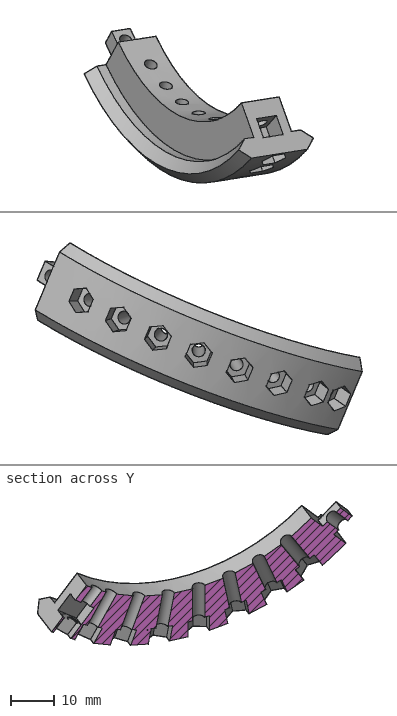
import cadquery as cq

inner_radius = 45.0
outer_radius = 59.05
half_angle = 40.0
base_width = 20.0
base_thickness = 5.0
base_chamfer = base_thickness / 2
neck_width = 10.1

peg_inner_radius = 49.7
peg_height = 4.65
peg_width = 4.95
peg_length = 6.05
socket_clearance = 0.15
socket_depth = peg_length + socket_clearance

hole_diameter = 3.0
hole_pitch_angle = 10.0
holes_per_side = 3
nut_corner_diameter = 6.35
nut_pocket_depth = 4.4
pin_hole_end_distance = 3.4
cut_margin = 0.8


def turned(shape, angle):
    """Swing a shape about the bend axis; positive angles move it toward +X."""
    return shape.rotate((0, 0, 0), (0, 1, 0), -angle)


def block(start, length, width, bottom, height):
    """Box running from `start` along +X, centred on Y, rising from `bottom`."""
    return (
        cq.Workplane("XY", origin=(start, 0, bottom))
        .box(length, width, height, centered=(False, True, False))
    )


def radial_hole(x=0):
    """Cutter along Z that crosses the whole rail at its lowest point."""
    return (
        cq.Workplane("XY", origin=(x, 0, -outer_radius - cut_margin))
        .circle(hole_diameter / 2)
        .extrude(outer_radius - inner_radius + 2 * cut_margin)
    )


def screw_hole(x=0):
    """Through hole widened by a hexagonal pocket from the outer surface."""
    pocket = (
        cq.Workplane("XY", origin=(x, 0, -outer_radius - cut_margin))
        .transformed(rotate=(0, 0, 90))
        .polygon(6, nut_corner_diameter)
        .extrude(nut_pocket_depth + cut_margin)
    )
    return radial_hole(x).union(pocket)


def curved_rail():
    """Neck on a base with pointed sides, swept along the arc."""
    half_base = base_width / 2
    half_flat = half_base - base_chamfer
    half_neck = neck_width / 2
    base_top = -outer_radius + base_thickness
    base_middle = -outer_radius + base_thickness / 2
    right_side = [
        (half_flat, -outer_radius),
        (half_base, base_middle),
        (half_flat, base_top),
        (half_neck, base_top),
        (half_neck, -inner_radius),
    ]
    left_side = [(-y, z) for y, z in reversed(right_side)]
    rail = (
        cq.Workplane("YZ")
        .polyline(right_side + left_side)
        .close()
        .revolve(2 * half_angle, (0, 0, 0), (1, 0, 0))
    )
    return turned(rail, half_angle)


rail = curved_rail()

peg = block(-peg_length, peg_length + cut_margin, peg_width, -peg_inner_radius - peg_height, peg_height)
peg_hole = radial_hole(-peg_length / 2)
rail = rail.union(turned(peg, -half_angle)).cut(turned(peg_hole, -half_angle))

socket = block(
    -socket_depth,
    socket_depth + cut_margin,
    peg_width + 2 * socket_clearance,
    -peg_inner_radius - peg_height - socket_clearance,
    peg_height + 2 * socket_clearance,
)
pin_hole = screw_hole(-pin_hole_end_distance)
rail = rail.cut(turned(socket, half_angle)).cut(turned(pin_hole, half_angle))

for index in range(-holes_per_side, holes_per_side + 1):
    rail = rail.cut(turned(screw_hole(), index * hole_pitch_angle))

result = rail